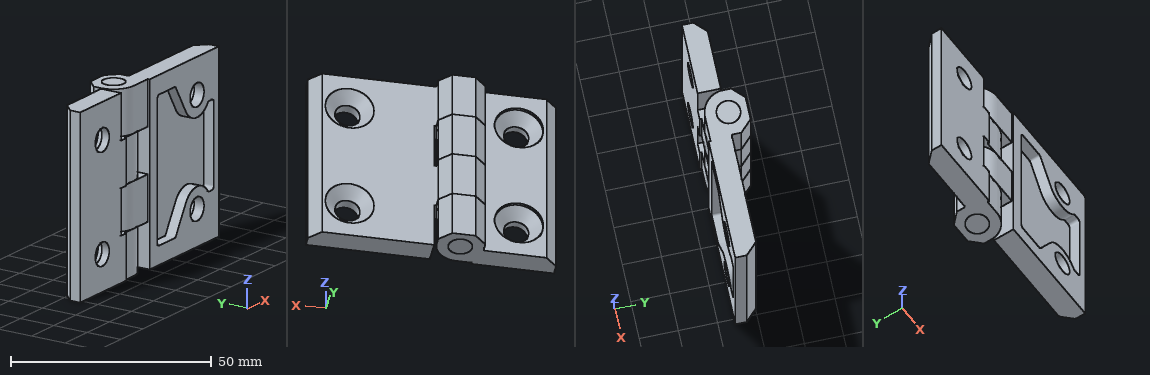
import cadquery as cq
import math

WIDTH = 63.0
HEIGHT = 50.0
LEAF_THICKNESS = 6.0
END_CHAMFER = 3.0

PIN_X = 25.0
PIN_Y = 6.5
PIN_RADIUS = 3.0
KNUCKLE_RADIUS = 6.0
KNUCKLE_BACK_Y = 11.5
KNUCKLE_CHAMFER = 3.0
KNUCKLE_ROOT_FILLET = 0.45
KNUCKLE_COUNT = 4
KNUCKLE_PITCH = HEIGHT / KNUCKLE_COUNT
SWING_CLEARANCE = 6.5

KNUCKLE_FRONT_Y = PIN_Y - KNUCKLE_RADIUS
LEFT_RELIEF_X = 21.0
RIGHT_RELIEF_X = PIN_X + SWING_CLEARANCE

HOLE_RADIUS = 3.15
SINK_RADIUS = 6.2
LEFT_SINK_RECESS = 0.75
LEFT_HOLE_X = 10.0
RIGHT_HOLE_X = WIDTH - LEFT_HOLE_X
HOLE_EDGE_Z = 10.0
HOLE_LEVELS = [HOLE_EDGE_Z, HEIGHT - HOLE_EDGE_Z]

POCKET_DEPTH = 3.0
POCKET_LEFT_X = 35.0
POCKET_RIGHT_X = 60.6
POCKET_HALF_HEIGHT = 19.85
POCKET_SHELF_HALF_HEIGHT = 11.9
POCKET_BOSS_RADIUS = 5.9
POCKET_SLOPE = math.radians(59)
POCKET_CORNER_RADIUS = 0.75
POCKET_SHELF_RADIUS = 1.0


def plate(end_x, inner_x):
    """Flat leaf between its free end, chamfered at the back, and its inner edge."""
    inward = math.copysign(END_CHAMFER, inner_x - end_x)
    outline = cq.Workplane("XY").polyline([
        (end_x, 0),
        (inner_x, 0),
        (inner_x, LEAF_THICKNESS),
        (end_x + inward, LEAF_THICKNESS),
        (end_x, LEAF_THICKNESS - END_CHAMFER),
    ]).close()
    return outline.extrude(HEIGHT)


def knuckle(side, relief_x, index):
    """Knuckle on a leaf lying to the given side of the pin (-1 left, +1 right).

    The index counts knuckles up from the bottom. The back is a chamfered block
    and the front is round on the side away from the leaf.
    """
    far_x = PIN_X - side * KNUCKLE_RADIUS
    root_x = PIN_X + side * KNUCKLE_RADIUS
    chamfer = side * KNUCKLE_CHAMFER
    shoulder_y = KNUCKLE_BACK_Y - KNUCKLE_CHAMFER
    leaf_x = PIN_X + side * SWING_CLEARANCE
    diagonal = KNUCKLE_RADIUS * math.sqrt(0.5)
    fillet_y = LEAF_THICKNESS + KNUCKLE_ROOT_FILLET
    fillet_x = root_x + side * KNUCKLE_ROOT_FILLET
    fillet_offset = KNUCKLE_ROOT_FILLET * (1 - math.sqrt(0.5))

    outline = (
        cq.Workplane("XY")
        .moveTo(PIN_X, KNUCKLE_FRONT_Y)
        .threePointArc((PIN_X - side * diagonal, PIN_Y - diagonal), (far_x, PIN_Y))
        .lineTo(far_x, shoulder_y)
        .lineTo(far_x + chamfer, KNUCKLE_BACK_Y)
        .lineTo(root_x - chamfer, KNUCKLE_BACK_Y)
        .lineTo(root_x, shoulder_y)
        .lineTo(root_x, fillet_y)
        .threePointArc(
            (root_x + side * fillet_offset, LEAF_THICKNESS + fillet_offset),
            (fillet_x, LEAF_THICKNESS),
        )
        .lineTo(leaf_x, LEAF_THICKNESS)
    )
    if relief_x != leaf_x:
        outline = outline.lineTo(leaf_x, 0).lineTo(relief_x, 0).lineTo(relief_x, KNUCKLE_FRONT_Y)
    else:
        outline = outline.lineTo(leaf_x, KNUCKLE_FRONT_Y)
    return outline.close().extrude(KNUCKLE_PITCH).translate((0, 0, index * KNUCKLE_PITCH))


def hinge_pin():
    """Plain pin running the full height of the hinge; it also cuts its own bore."""
    return cq.Workplane("XY").center(PIN_X, PIN_Y).circle(PIN_RADIUS).extrude(HEIGHT)


def screw_hole(x, z, recess):
    """Through hole with a 90 degree countersink lying below a recess in the back face."""
    sink_y = LEAF_THICKNESS - recess
    cone_y = sink_y - (SINK_RADIUS - HOLE_RADIUS)
    profile = (
        cq.Workplane("YZ")
        .lineTo(0, -HOLE_RADIUS)
        .lineTo(cone_y, -HOLE_RADIUS)
        .lineTo(sink_y, -SINK_RADIUS)
    )
    if recess > 0:
        profile = profile.lineTo(LEAF_THICKNESS, -SINK_RADIUS)
    profile = profile.lineTo(LEAF_THICKNESS, 0).close()
    return profile.revolve(360, (0, 0, 0), (1, 0, 0)).translate((x, 0, z))


def pocket():
    """Front pocket that curves around the two screw bosses, mirrored about mid height."""
    boss_z = HEIGHT / 2 - HOLE_EDGE_Z
    tangent_x = RIGHT_HOLE_X - POCKET_BOSS_RADIUS * math.sin(POCKET_SLOPE)
    tangent_z = boss_z - POCKET_BOSS_RADIUS * math.cos(POCKET_SLOPE)
    slope_top_x = tangent_x - (POCKET_HALF_HEIGHT - tangent_z) / math.tan(POCKET_SLOPE)
    shelf_drop = boss_z - POCKET_SHELF_HALF_HEIGHT
    shelf_x = RIGHT_HOLE_X + math.sqrt(POCKET_BOSS_RADIUS**2 - shelf_drop**2)
    boss_low_z = boss_z - POCKET_BOSS_RADIUS

    outline = (
        cq.Workplane("XZ")
        .moveTo(POCKET_LEFT_X, -POCKET_HALF_HEIGHT)
        .lineTo(POCKET_LEFT_X, POCKET_HALF_HEIGHT)
        .lineTo(slope_top_x, POCKET_HALF_HEIGHT)
        .lineTo(tangent_x, tangent_z)
        .threePointArc((RIGHT_HOLE_X, boss_low_z), (shelf_x, POCKET_SHELF_HALF_HEIGHT))
        .lineTo(POCKET_RIGHT_X, POCKET_SHELF_HALF_HEIGHT)
        .lineTo(POCKET_RIGHT_X, -POCKET_SHELF_HALF_HEIGHT)
        .lineTo(shelf_x, -POCKET_SHELF_HALF_HEIGHT)
        .threePointArc((RIGHT_HOLE_X, -boss_low_z), (tangent_x, -tangent_z))
        .lineTo(slope_top_x, -POCKET_HALF_HEIGHT)
        .close()
    )
    block = outline.extrude(-POCKET_DEPTH)
    block = (
        block.edges("|Y")
        .filter(lambda edge: edge.Center().x < tangent_x - POCKET_CORNER_RADIUS)
        .fillet(POCKET_CORNER_RADIUS)
    )
    block = (
        block.edges("|Y")
        .filter(lambda edge: edge.Center().x > RIGHT_HOLE_X)
        .fillet(POCKET_SHELF_RADIUS)
    )
    return block.translate((0, 0, HEIGHT / 2))


def left_leaf():
    """Leaf holding the first and third knuckles from the bottom."""
    leaf = plate(0, PIN_X - SWING_CLEARANCE)
    for index in (0, 2):
        leaf = leaf.union(knuckle(-1, LEFT_RELIEF_X, index))
    leaf = leaf.cut(hinge_pin())
    for z in HOLE_LEVELS:
        leaf = leaf.cut(screw_hole(LEFT_HOLE_X, z, LEFT_SINK_RECESS))
    return leaf


def right_leaf():
    """Leaf holding the second and fourth knuckles from the bottom, with the pocket in its front face."""
    leaf = plate(WIDTH, PIN_X + SWING_CLEARANCE)
    for index in (1, 3):
        leaf = leaf.union(knuckle(1, RIGHT_RELIEF_X, index))
    leaf = leaf.cut(hinge_pin()).cut(pocket())
    for z in HOLE_LEVELS:
        leaf = leaf.cut(screw_hole(RIGHT_HOLE_X, z, 0))
    return leaf


result = cq.Compound.makeCompound([left_leaf().val(), right_leaf().val(), hinge_pin().val()])